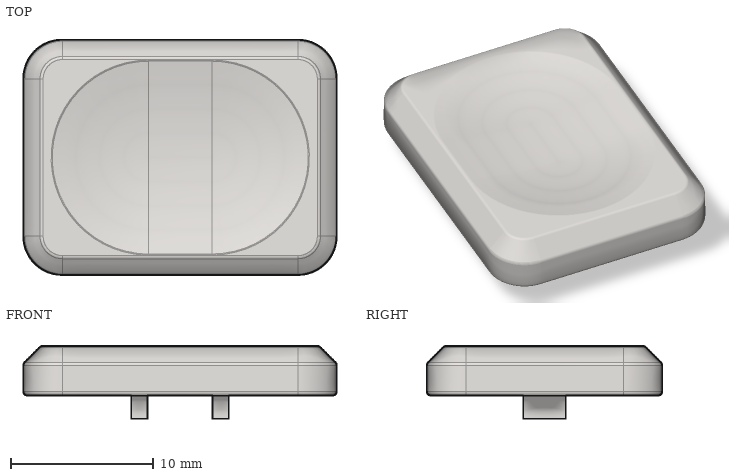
import cadquery as cq

LENGTH = 22.05
WIDTH = 16.55
TOTAL_HEIGHT = 5.14
BODY_HEIGHT = 3.5
CORNER_RADIUS = 2.75
BEVEL = 1.25
EDGE_RADIUS = 0.3

DISH_STRETCH = 4.45
DISH_RIM_RADIUS = 6.81
DISH_DEPTH = 0.85
DISH_SPHERE_RADIUS = (DISH_RIM_RADIUS**2 + DISH_DEPTH**2) / (2 * DISH_DEPTH)

LEG_LENGTH = TOTAL_HEIGHT - BODY_HEIGHT
LEG_THICKNESS = 1.15
LEG_WIDTH = 3.0
LEG_SPACING = 5.7


def cap_body():
    """Rounded block with its underside at Z = 0, a bevelled top and softened edges."""
    block = cq.Workplane("XY").box(LENGTH, WIDTH, BODY_HEIGHT, centered=(True, True, False))
    block = block.edges("|Z").fillet(CORNER_RADIUS)
    block = block.faces(">Z").chamfer(BEVEL)
    bevel_bottom = BODY_HEIGHT - BEVEL
    block = block.edges(
        cq.selectors.BoxSelector(
            (-LENGTH, -WIDTH, bevel_bottom - EDGE_RADIUS),
            (LENGTH, WIDTH, bevel_bottom + EDGE_RADIUS),
        )
    ).fillet(EDGE_RADIUS)
    block = block.faces(">Z").edges().fillet(EDGE_RADIUS)
    return block.faces("<Z").edges().fillet(EDGE_RADIUS)


def dish_cutter():
    """Shallow cylindrical trough closed by a half spherical cap at each end."""
    dish_bottom = BODY_HEIGHT - DISH_DEPTH
    half_stretch = DISH_STRETCH / 2
    section = (
        cq.Workplane("YZ", origin=(-half_stretch, 0, 0))
        .moveTo(-DISH_RIM_RADIUS, BODY_HEIGHT)
        .threePointArc((0, dish_bottom), (DISH_RIM_RADIUS, BODY_HEIGHT))
        .close()
    )
    cutter = section.extrude(DISH_STRETCH)
    for end_x in (-half_stretch, half_stretch):
        cap = (
            cq.Workplane("XZ", origin=(end_x, 0, 0))
            .moveTo(0, BODY_HEIGHT)
            .lineTo(0, dish_bottom)
            .radiusArc((DISH_RIM_RADIUS, BODY_HEIGHT), -DISH_SPHERE_RADIUS)
            .close()
            .revolve(360, (0, 0, 0), (0, 1, 0))
        )
        cutter = cutter.union(cap)
    return cutter


def legs():
    """Pair of rectangular legs under the body, spread along X."""
    return (
        cq.Workplane("XY")
        .pushPoints([(-LEG_SPACING / 2, 0), (LEG_SPACING / 2, 0)])
        .rect(LEG_THICKNESS, LEG_WIDTH)
        .extrude(-LEG_LENGTH)
    )


dished_body = cap_body().cut(dish_cutter())
dish_rim = dished_body.faces(">Z").val().innerWires()[0].Edges()
dished_body = dished_body.newObject(dish_rim).fillet(EDGE_RADIUS)

result = dished_body.union(legs())